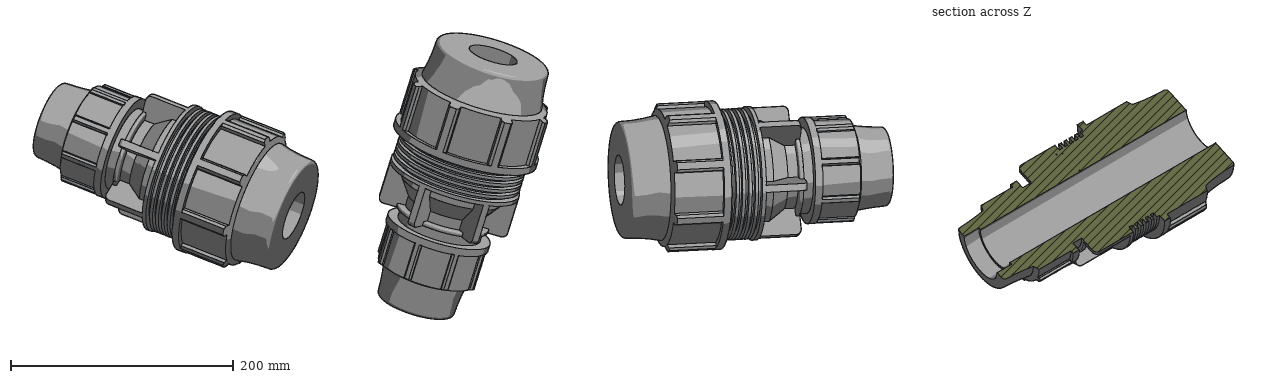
import cadquery as cq
import math


LENGTH = 245.0
FLANGE_RADIUS = 134.0 / 2

SOCKET_RADIUS = 50.0 / 2
SOCKET_DEPTH = 16.2
BORE_RADIUS = 22.5

SMALL_MOUTH_RADIUS = 35.8
SMALL_MOUTH_ROUND = 3.5
SMALL_SLEEVE_MID_RADIUS = 36.8
SMALL_SHOULDER_RADIUS = 38.7
SMALL_SHOULDER_X = 30.6
SMALL_RIB_END_X = 34.0
SMALL_PANEL_RADIUS = 44.5
SMALL_FLANGE_RADIUS = 96.0 / 2
SMALL_FLANGE_X = 68.0
SMALL_FLANGE_END_X = 75.0
SMALL_RIB_TOP_WIDTH = 4.0
SMALL_RIB_BASE_WIDTH = 6.9

COLLAR_RADIUS = 38.7
COLLAR_END_X = 84.3
RING_RADIUS = 43.0
RING_END_X = 88.2
RING_ROUND = 1.5
NECK_RADIUS = 35.8
CONE_X = 97.8
CONE_END_X = 113.2
CONE_FOOT_RADIUS = 46.8

WING_COUNT = 6
WING_RADIUS = 120.5 / 2
WING_THICKNESS = 6.5
WING_ROUND = 5.1

BARREL_X = 122.7
BARREL_LIP_END_X = 126.5
BARREL_RADIUS = 107.3 / 2
DISC_RADIUS = 118.0 / 2
DISC_COUNT = 5
DISC_WIDTH = 3.0
DISC_PITCH = 6.0
FIRST_DISC_X = 129.5

LARGE_FLANGE_X = 156.0
LARGE_FLANGE_END_X = 162.7
LARGE_PANEL_RADIUS = 62.0
LARGE_RIB_END_X = 205.0
LARGE_SHOULDER_X = 209.7
LARGE_SHOULDER_RADIUS = 56.4
LARGE_SLEEVE_MID_RADIUS = 53.7
LARGE_MOUTH_RADIUS = 52.7
LARGE_MOUTH_ROUND = 3.5
LARGE_RIB_TOP_WIDTH = 6.4
LARGE_RIB_BASE_WIDTH = 10.8

RIB_COUNT = 8
RIB_BEVEL_HEIGHT = 2.2

OVERLAP = 2.5


def cylinder(radius, start_x, end_x):
    """Solid cylinder along X between two positions."""
    return cq.Workplane("YZ", origin=(start_x, 0, 0)).circle(radius).extrude(end_x - start_x)


def around_axis(blade, count, first_angle):
    """Copies of a blade spaced evenly about the X axis, joined together."""
    copies = cq.Workplane("XY")
    for index in range(count):
        angle = first_angle + index * 360 / count
        copies = copies.add(blade.rotate((0, 0, 0), (1, 0, 0), angle))
    return copies.combine()


def nut(mouth_x, mouth_radius, mouth_round, sleeve_mid_radius, shoulder_x, shoulder_radius,
        rib_end_x, panel_radius, flange_x, flange_end_x, flange_radius, rib_top_width, rib_base_width):
    """Nut with a flared sleeve, a sloped shoulder, ribbed grip panels and a flange."""
    inward = math.copysign(1, flange_x - mouth_x)
    sleeve_x = mouth_x + inward * mouth_round
    corner = mouth_round * (1 - math.sqrt(0.5))
    envelope = (
        cq.Workplane("XY")
        .moveTo(mouth_x, 0)
        .lineTo(mouth_x, mouth_radius - mouth_round)
        .threePointArc((mouth_x + inward * corner, mouth_radius - corner), (sleeve_x, mouth_radius))
        .threePointArc(((sleeve_x + shoulder_x) / 2, sleeve_mid_radius), (shoulder_x, shoulder_radius))
        .lineTo(rib_end_x, flange_radius)
        .lineTo(flange_end_x, flange_radius)
        .lineTo(flange_end_x, 0)
        .close()
        .revolve(360, (0, 0, 0), (1, 0, 0))
    )

    grip_start = min(shoulder_x, flange_x)
    grip_end = max(shoulder_x, flange_x)
    grip = cylinder(flange_radius + OVERLAP, grip_start, grip_end)
    grip = grip.cut(cylinder(panel_radius, grip_start, grip_end))
    base_half = rib_base_width / 2
    top_half = rib_top_width / 2
    rib = (
        cq.Workplane("YZ", origin=(grip_start, 0, 0))
        .moveTo(panel_radius - OVERLAP, -base_half)
        .lineTo(flange_radius - RIB_BEVEL_HEIGHT, -base_half)
        .lineTo(flange_radius, -top_half)
        .lineTo(flange_radius + OVERLAP, -top_half)
        .lineTo(flange_radius + OVERLAP, top_half)
        .lineTo(flange_radius, top_half)
        .lineTo(flange_radius - RIB_BEVEL_HEIGHT, base_half)
        .lineTo(panel_radius - OVERLAP, base_half)
        .close()
        .extrude(grip_end - grip_start)
    )
    ribs = around_axis(rib, RIB_COUNT, 180 / RIB_COUNT)
    return envelope.cut(grip.cut(ribs))


def middle_body():
    """Collar, ring, neck and cone between the nuts."""
    return (
        cq.Workplane("XY")
        .moveTo(SMALL_FLANGE_X, 0)
        .lineTo(SMALL_FLANGE_X, COLLAR_RADIUS)
        .lineTo(COLLAR_END_X, COLLAR_RADIUS)
        .lineTo(COLLAR_END_X, RING_RADIUS - RING_ROUND)
        .radiusArc((COLLAR_END_X + RING_ROUND, RING_RADIUS), RING_ROUND)
        .lineTo(RING_END_X - RING_ROUND, RING_RADIUS)
        .radiusArc((RING_END_X, RING_RADIUS - RING_ROUND), RING_ROUND)
        .lineTo(RING_END_X, NECK_RADIUS)
        .lineTo(CONE_X, NECK_RADIUS)
        .lineTo(CONE_END_X, CONE_FOOT_RADIUS)
        .lineTo(BARREL_X, CONE_FOOT_RADIUS)
        .lineTo(BARREL_X, 0)
        .close()
        .revolve(360, (0, 0, 0), (1, 0, 0))
    )


def wings_and_lip():
    """Flat radial wings, rounded at the outer front corner, flush with the front lip of the barrel."""
    outline = (
        cq.Workplane("XY")
        .moveTo(COLLAR_END_X, 0)
        .lineTo(COLLAR_END_X, WING_RADIUS - WING_ROUND)
        .radiusArc((COLLAR_END_X + WING_ROUND, WING_RADIUS), WING_ROUND)
        .lineTo(BARREL_LIP_END_X, WING_RADIUS)
        .lineTo(BARREL_LIP_END_X, 0)
        .close()
        .revolve(360, (0, 0, 0), (1, 0, 0))
    )
    slab = (
        cq.Workplane("XY")
        .box(LENGTH, WING_RADIUS + OVERLAP, WING_THICKNESS, centered=(False, False, True))
    )
    lip = cylinder(WING_RADIUS + OVERLAP, BARREL_X, BARREL_LIP_END_X)
    return outline.intersect(around_axis(slab, WING_COUNT, 0).union(lip))


def barrel():
    """Barrel with a row of thin discs."""
    body = cylinder(BARREL_RADIUS, BARREL_X, LARGE_FLANGE_X)
    for index in range(DISC_COUNT):
        disc_x = FIRST_DISC_X + index * DISC_PITCH
        body = body.union(cylinder(DISC_RADIUS, disc_x, disc_x + DISC_WIDTH))
    return body


small_nut = nut(
    0, SMALL_MOUTH_RADIUS, SMALL_MOUTH_ROUND, SMALL_SLEEVE_MID_RADIUS,
    SMALL_SHOULDER_X, SMALL_SHOULDER_RADIUS, SMALL_RIB_END_X, SMALL_PANEL_RADIUS,
    SMALL_FLANGE_X, SMALL_FLANGE_END_X, SMALL_FLANGE_RADIUS,
    SMALL_RIB_TOP_WIDTH, SMALL_RIB_BASE_WIDTH,
)
large_nut = nut(
    LENGTH, LARGE_MOUTH_RADIUS, LARGE_MOUTH_ROUND, LARGE_SLEEVE_MID_RADIUS,
    LARGE_SHOULDER_X, LARGE_SHOULDER_RADIUS, LARGE_RIB_END_X, LARGE_PANEL_RADIUS,
    LARGE_FLANGE_END_X, LARGE_FLANGE_X, FLANGE_RADIUS,
    LARGE_RIB_TOP_WIDTH, LARGE_RIB_BASE_WIDTH,
)

result = (
    small_nut
    .union(middle_body())
    .union(wings_and_lip())
    .union(barrel())
    .union(large_nut)
    .cut(cylinder(BORE_RADIUS, 0, LENGTH))
    .cut(cylinder(SOCKET_RADIUS, 0, SOCKET_DEPTH))
)